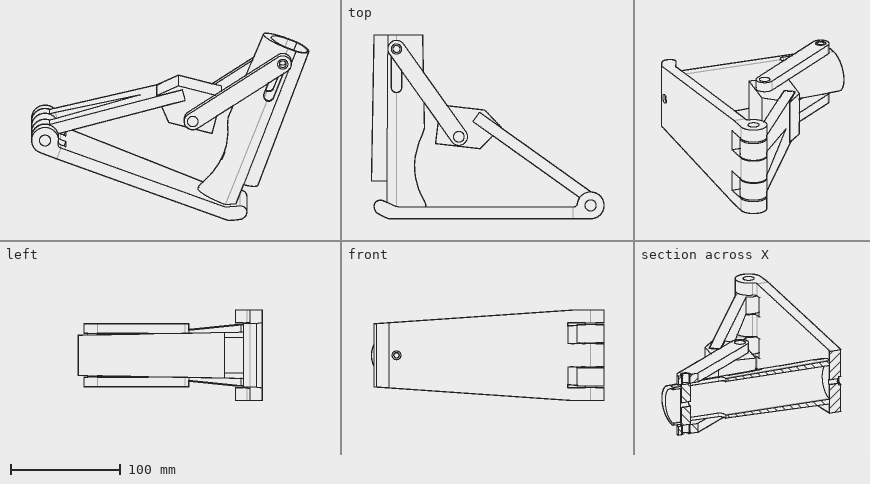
import cadquery as cq
import math


PLATE_THICKNESS = 11.0
PLATE_HALF_HEIGHT = 41.3
TIP_HALF_HEIGHT = 28.8
TAPER_END_X = 160.5

TIP_X = -20.5
CURL_RADIUS = 6.0
CURL_CENTER_Y = 11.2
CURL_SLOPE = math.radians(26)
CURL_OUTER_START = (-7.0, 0)
CURL_OUTER_MIDDLE = (-12.7, 2.5)
CURL_OUTER_END = (-18.0, 5.5)
CURL_NOSE_MIDDLE = (-20.0, 8.5)
CURL_INNER_END = (-4.2, 13.1)
CURL_INNER_MIDDLE = (-1.3, 11.6)
CURL_INNER_START = (2.0, PLATE_THICKNESS)

HOLE_RADIUS = 2.3
COUNTERBORE_RADIUS = 4.0
COUNTERBORE_DEPTH = 2.1

HINGE_RADIUS = 12.3
HINGE_CENTER = (176.5, HINGE_RADIUS)
HINGE_END_X = HINGE_CENTER[0] + HINGE_RADIUS
HINGE_PIN_RADIUS = 5.0
LUG_FILLET = 3.2
NOTCH_ROOT_X = 155.8
NOTCH_INNER_Z = 10.5
NOTCH_OUTER_Z = 29.5

ARM_ANGLE = 144.5
ARM_LENGTH = 131.5
ARM_WIDTH = 10.4
ARM_OFFSET = -5.0
ARM_ROOT_HALF_HEIGHT = 28.0
ARM_END_HALF_HEIGHT = 20.5
ARM_TAPER_START = 6.4
FORK_LENGTH = 91.7
FORK_HALF_GAP = 11.5
HEAD_HALF_HEIGHT = 20.0
HEAD_CORNERS = [(35.4, 68.4), (76.0, 63.7), (95.3, 83.5), (80.2, 99.0), (39.8, 103.7)]

LINK_RADIUS = 7.8
LINK_THICKNESS = 8.9
LINK_OUTER_Z = HEAD_HALF_HEIGHT + LINK_THICKNESS
SLIDE_PIN_CENTER = (0, 154.5)
SLIDE_PIN_RADIUS = 4.7
SOCKET_RADIUS = 3.2
SOCKET_DEPTH = LINK_THICKNESS
HEAD_PIN_CENTER = (56.7, 74.7)
HEAD_PIN_RADIUS = 4.9

HANDLE_TOP_Y = 167.5
HANDLE_BASE_Y = PLATE_THICKNESS
HALF_HEIGHT = (18.5, 21.2)
BACK_DEPTH = (20.5, 23.3)
FLAT_WIDTH = (7.8, 8.9)
FRONT_DEPTH = (24.0, 26.9)
GRIP_CENTER = (77.0, 48.0)
GRIP_RADIUS = 60.5
GRIP_SQUARENESS = 0.1417
SECTION_STEPS = 12
FRONT_STEPS = 24
BORE_RADIUS = 16.0
BORE_BACK_DEPTH = 19.0
BACK_END_Y = 34.3
SLOT_END_Y = 119.6

CLEARANCE = 84.7


def rod(center, radius, half_length):
    """A cylinder along Z, centred on the middle plane."""
    return cq.Workplane("XY", origin=(*center, 0)).circle(radius).extrude(half_length, both=True)


def side_prism(upper_points, half_width):
    """A prism along Y whose XZ outline is upper_points and their mirror image below Z = 0."""
    lower_points = [(x, -z) for x, z in reversed(upper_points) if z > 0]
    outline = cq.Workplane("XZ").polyline(upper_points + lower_points).close()
    return outline.extrude(half_width, both=True)



def plate_bar():
    """The plate and its curled end, at full height."""
    center_x = TIP_X + CURL_RADIUS
    half_turn = (math.pi / 2 - CURL_SLOPE) / 2
    nose_top = (
        center_x - CURL_RADIUS * math.sin(half_turn),
        CURL_CENTER_Y + CURL_RADIUS * math.cos(half_turn),
    )
    nose_end = (
        center_x + CURL_RADIUS * math.sin(CURL_SLOPE),
        CURL_CENTER_Y + CURL_RADIUS * math.cos(CURL_SLOPE),
    )
    return (
        cq.Workplane("XY")
        .moveTo(HINGE_CENTER[0], 0)
        .lineTo(*CURL_OUTER_START)
        .threePointArc(CURL_OUTER_MIDDLE, CURL_OUTER_END)
        .threePointArc(CURL_NOSE_MIDDLE, (TIP_X, CURL_CENTER_Y))
        .threePointArc(nose_top, nose_end)
        .lineTo(*CURL_INNER_END)
        .threePointArc(CURL_INNER_MIDDLE, CURL_INNER_START)
        .lineTo(HINGE_CENTER[0], PLATE_THICKNESS)
        .close()
        .extrude(PLATE_HALF_HEIGHT, both=True)
    )


def add_hinge_lug(plate):
    """Adds the hinge barrel and fillets its corner with the inner face of the plate."""
    plate = plate.union(rod(HINGE_CENTER, HINGE_RADIUS, PLATE_HALF_HEIGHT))
    rise = HINGE_CENTER[1] - PLATE_THICKNESS
    corner_x = HINGE_CENTER[0] - math.sqrt(HINGE_RADIUS**2 - rise**2)
    corner = cq.selectors.NearestToPointSelector((corner_x, PLATE_THICKNESS, 0))
    return plate.edges("|Z").edges(corner).fillet(LUG_FILLET)


def cut_hinge_notches(plate):
    """Two open notches that take the knuckles of the arm."""
    notch_height = NOTCH_OUTER_Z - NOTCH_INNER_Z
    for bottom_z in (NOTCH_INNER_Z, -NOTCH_OUTER_Z):
        notch = (
            cq.Workplane("XY")
            .box(CLEARANCE, CLEARANCE, notch_height, centered=(False, True, False))
            .translate((NOTCH_ROOT_X, 0, bottom_z))
        )
        plate = plate.cut(notch)
    return plate


def make_plate():
    taper = side_prism(
        [(TIP_X, TIP_HALF_HEIGHT), (TAPER_END_X, PLATE_HALF_HEIGHT), (HINGE_END_X, PLATE_HALF_HEIGHT)],
        CLEARANCE,
    )
    plate = add_hinge_lug(plate_bar()).intersect(taper)
    plate = cut_hinge_notches(plate)
    hole = cq.Workplane("XZ").circle(HOLE_RADIUS).extrude(-CLEARANCE)
    counterbore = cq.Workplane("XZ").circle(COUNTERBORE_RADIUS).extrude(-COUNTERBORE_DEPTH)
    pin_hole = rod(HINGE_CENTER, HINGE_PIN_RADIUS, PLATE_HALF_HEIGHT)
    return plate.cut(hole).cut(counterbore).cut(pin_hole)



def make_arm():
    """The forked bar is built along +X from the hinge axis, turned into place and joined to its head."""
    bar = cq.Workplane("XY").center(ARM_LENGTH / 2, ARM_OFFSET).rect(ARM_LENGTH, ARM_WIDTH)
    bar = bar.extrude(ARM_ROOT_HALF_HEIGHT, both=True)
    bar = bar.union(rod((0, 0), HINGE_RADIUS, ARM_ROOT_HALF_HEIGHT))
    taper = side_prism(
        [
            (-HINGE_RADIUS, ARM_ROOT_HALF_HEIGHT),
            (ARM_TAPER_START, ARM_ROOT_HALF_HEIGHT),
            (ARM_LENGTH, ARM_END_HALF_HEIGHT),
        ],
        CLEARANCE,
    )
    fork_gap = side_prism(
        [(-CLEARANCE, FORK_HALF_GAP), (HINGE_RADIUS, FORK_HALF_GAP), (FORK_LENGTH, 0)],
        CLEARANCE,
    )
    hinge_hole = rod((0, 0), HINGE_PIN_RADIUS, ARM_ROOT_HALF_HEIGHT)
    bar = bar.intersect(taper).cut(fork_gap).cut(hinge_hole)
    bar = bar.rotate((0, 0, 0), (0, 0, 1), ARM_ANGLE).translate((*HINGE_CENTER, 0))
    head = cq.Workplane("XY").polyline(HEAD_CORNERS).close().extrude(HEAD_HALF_HEIGHT, both=True)
    return bar.union(head).cut(rod(HEAD_PIN_CENTER, HEAD_PIN_RADIUS, HEAD_HALF_HEIGHT))



def make_link(bottom_z):
    """A flat bar with round ends and a pin hole at each end."""
    x0, y0 = SLIDE_PIN_CENTER
    x1, y1 = HEAD_PIN_CENTER
    total_length = math.hypot(x1 - x0, y1 - y0) + 2 * LINK_RADIUS
    angle = math.degrees(math.atan2(y1 - y0, x1 - x0))
    link = (
        cq.Workplane("XY", origin=((x0 + x1) / 2, (y0 + y1) / 2, bottom_z))
        .slot2D(total_length, 2 * LINK_RADIUS, angle)
        .extrude(LINK_THICKNESS)
    )
    link = link.cut(rod(SLIDE_PIN_CENTER, SLIDE_PIN_RADIUS, LINK_OUTER_Z))
    return link.cut(rod(HEAD_PIN_CENTER, HEAD_PIN_RADIUS, LINK_OUTER_Z))


def make_slide_pin():
    """A pin with a blind socket in each end and a cross hole along the handle axis."""
    pin = rod(SLIDE_PIN_CENTER, SLIDE_PIN_RADIUS, LINK_OUTER_Z)
    sockets = rod(SLIDE_PIN_CENTER, SOCKET_RADIUS, LINK_OUTER_Z)
    sockets = sockets.cut(rod(SLIDE_PIN_CENTER, SOCKET_RADIUS, LINK_OUTER_Z - SOCKET_DEPTH))
    cross_hole = cq.Workplane("XZ").circle(HOLE_RADIUS).extrude(-HANDLE_TOP_Y)
    return pin.cut(sockets).cut(cross_hole)



def tapered(size, y):
    """The value at height y of a handle size given as (top, base)."""
    top, base = size
    return base + (top - base) * (y - HANDLE_BASE_Y) / (HANDLE_TOP_Y - HANDLE_BASE_Y)


def front_depth(y):
    """Depth of the handle front, reduced where the finger grip cuts deeper."""
    plain_depth = tapered(FRONT_DEPTH, y)
    grip_x, grip_y = GRIP_CENTER
    reach_squared = GRIP_RADIUS**2 - (y - grip_y) ** 2
    if reach_squared <= 0:
        return plain_depth
    return min(plain_depth, grip_x - math.sqrt(reach_squared))


def back_section(y):
    """Two short flats joined by an arc at the back, closed in the plane X = 0."""
    half = tapered(HALF_HEIGHT, y)
    flat = tapered(FLAT_WIDTH, y)
    return (
        cq.Workplane("XZ", origin=(0, y, 0))
        .moveTo(0, -half)
        .lineTo(-flat, -half)
        .threePointArc((-tapered(BACK_DEPTH, y), 0), (-flat, half))
        .lineTo(0, half)
        .close()
        .val()
    )


def front_section(y):
    """Half a superellipse, squarer where the grip is deeper, closed in the plane X = 0."""
    half = tapered(HALF_HEIGHT, y)
    depth = front_depth(y)
    power = 2 + GRIP_SQUARENESS * (tapered(FRONT_DEPTH, y) - depth)
    points = []
    for i in range(1, SECTION_STEPS):
        angle = math.pi * (i / SECTION_STEPS - 0.5)
        x = depth * math.cos(angle) ** (2 / power)
        z = half * math.copysign(abs(math.sin(angle)) ** (2 / power), angle)
        points.append((x, z))
    points.append((0, half))
    return (
        cq.Workplane("XZ", origin=(0, y, 0))
        .moveTo(0, -half)
        .spline(points, tangents=[(1, 0), (-1, 0)], includeCurrent=True)
        .close()
        .val()
    )


def handle_body():
    """The solid outer shape: tapered back and lofted front with its finger grip."""
    back = cq.Solid.makeLoft([back_section(HANDLE_BASE_Y), back_section(HANDLE_TOP_Y)], True)
    step = (HANDLE_TOP_Y - HANDLE_BASE_Y) / FRONT_STEPS
    fronts = [front_section(HANDLE_BASE_Y + i * step) for i in range(FRONT_STEPS + 1)]
    front = cq.Solid.makeLoft(fronts)
    return cq.Workplane(back).union(cq.Workplane(front))


def make_handle(plate):
    rim_x = -tapered(FLAT_WIDTH, BACK_END_Y)
    bore = (
        cq.Workplane("XZ")
        .moveTo(0, -BORE_RADIUS)
        .threePointArc((BORE_RADIUS, 0), (0, BORE_RADIUS))
        .lineTo(rim_x, BORE_RADIUS)
        .threePointArc((-BORE_BACK_DEPTH, 0), (rim_x, -BORE_RADIUS))
        .close()
        .extrude(-HANDLE_TOP_Y)
    )
    back_opening = (
        cq.Workplane("XY")
        .box(CLEARANCE, BACK_END_Y, CLEARANCE, centered=(False, False, True))
        .translate((rim_x - CLEARANCE, 0, 0))
    )
    slide_x, slide_y = SLIDE_PIN_CENTER
    slot_length = slide_y - SLOT_END_Y + 2 * SLIDE_PIN_RADIUS
    pin_slot = (
        cq.Workplane("XY", origin=(slide_x, (SLOT_END_Y + slide_y) / 2, 0))
        .slot2D(slot_length, 2 * SLIDE_PIN_RADIUS, 90)
        .extrude(CLEARANCE, both=True)
    )
    handle = handle_body().cut(bore).cut(back_opening).cut(pin_slot)
    return handle.cut(plate)



plate = make_plate()
handle = make_handle(plate)
arm = make_arm()
hinge_pin = rod(HINGE_CENTER, HINGE_PIN_RADIUS, PLATE_HALF_HEIGHT)
head_pin = rod(HEAD_PIN_CENTER, HEAD_PIN_RADIUS, LINK_OUTER_Z)
slide_pin = make_slide_pin()
links = [make_link(bottom_z).val() for bottom_z in (HEAD_HALF_HEIGHT, -LINK_OUTER_Z)]

result = cq.Compound.makeCompound([
    plate.val(),
    handle.val(),
    arm.val(),
    hinge_pin.val(),
    head_pin.val(),
    slide_pin.val(),
    *links,
])